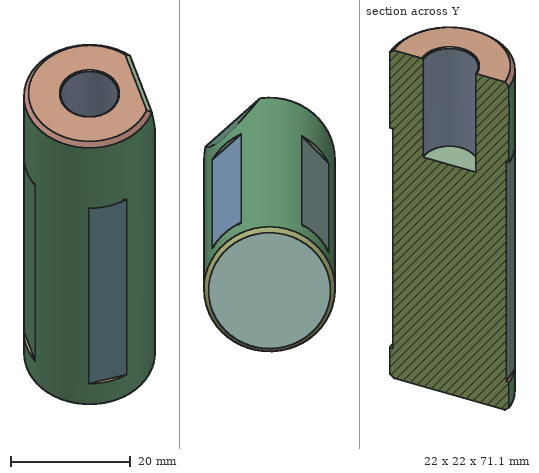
import cadquery as cq
import math

length = 71.1
diameter = 22.0
radius = diameter / 2
edge_chamfer = 0.8

bore_diameter = 9.6
bore_depth = 21.35
bore_chamfer = 0.2

flat_count = 4
flat_width = 6.7
flat_bottom = 6.4
flat_top = 54.0
flat_distance = math.sqrt(radius**2 - (flat_width / 2) ** 2)

relief_height = 12.8
relief_top_y = 8.9


def make_body():
    """Cylinder with the sloped relief cut before its end edges are chamfered."""
    body = cq.Workplane("XY").circle(radius).extrude(length)
    relief = (
        cq.Workplane("YZ")
        .moveTo(radius, length - relief_height)
        .lineTo(relief_top_y, length)
        .lineTo(radius, length)
        .close()
        .extrude(radius, both=True)
    )
    return body.cut(relief).faces("<Z or >Z").edges().chamfer(edge_chamfer)


def make_flat_cutter(angle):
    """Block that removes everything outside one side flat."""
    return (
        cq.Workplane("XY")
        .box(radius, diameter, flat_top - flat_bottom, centered=(False, True, False))
        .translate((flat_distance, 0, flat_bottom))
        .rotate((0, 0, 0), (0, 0, 1), angle)
    )


result = make_body()
for index in range(flat_count):
    result = result.cut(make_flat_cutter(index * 360 / flat_count))

bore = cq.Workplane("XY").workplane(offset=length).circle(bore_diameter / 2).extrude(-bore_depth)
bore_mouth = (
    cq.Workplane("XY")
    .workplane(offset=length)
    .circle(bore_diameter / 2 + bore_chamfer)
    .extrude(-2 * bore_chamfer, taper=45)
)
result = result.cut(bore).cut(bore_mouth)